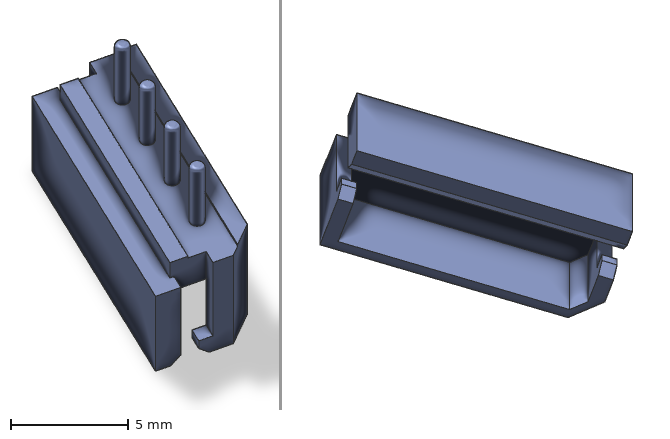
import cadquery as cq

length = 12.4
depth = 4.9
rim_height = 5.89
total_height = 9.4

rear_block_depth = 2.2
end_thickness = 0.68
back_wall = 0.4
corner_chamfer = 1.24
cavity_chamfer = 0.62

front_wall_depth = 1.19
front_wall_height = 4.9
bridge_front = 0.99
bridge_bottom = 3.99
hook_reach = 0.67
hook_height = 0.98
lead_in = 0.48

channel_depth = 0.11
rim_width = 0.85

pin_count = 4
pin_pitch = 2.5
pin_diameter = 0.7
pin_tip_radius = 0.2
pin_from_back = 1.8

rear_face = depth - rear_block_depth
inner_length = length - 2 * end_thickness
channel_floor = rim_height - channel_depth


def box(x, y, z, dx, dy, dz):
    """Box with its lowest corner at (x, y, z)."""
    return cq.Workplane("XY").box(dx, dy, dz, centered=False).translate((x, y, z))


def side_profile(points, x_start, width):
    """Extrude a (Y, Z) outline along X."""
    return cq.Workplane("YZ").polyline(points).close().extrude(width).translate((x_start, 0, 0))


def make_rear_block():
    block = box(0, rear_face, 0, length, rear_block_depth, rim_height)
    block = block.edges("|Z and >X and >Y").chamfer(corner_chamfer)
    cavity = box(end_thickness, rear_face, 0, inner_length, rear_block_depth - back_wall, bridge_bottom)
    cavity = cavity.edges("|Z and >X and >Y").chamfer(cavity_chamfer)
    return block.cut(cavity)


def make_bridge():
    return box(end_thickness, bridge_front, bridge_bottom,
               inner_length, rear_face - bridge_front, rim_height - bridge_bottom)


def make_front_wall():
    outline = [
        (0, 0),
        (front_wall_depth - lead_in, 0),
        (front_wall_depth, lead_in),
        (front_wall_depth, front_wall_height),
        (0, front_wall_height),
    ]
    return side_profile(outline, 0, length)


def make_hook(x_start):
    tip = rear_face - hook_reach
    outline = [
        (rear_face, 0),
        (tip + lead_in, 0),
        (tip, lead_in),
        (tip, hook_height),
        (rear_face, hook_height),
    ]
    return side_profile(outline, x_start, end_thickness)


def make_channel():
    channel_front = bridge_front + rim_width
    channel_width = depth - rim_width - channel_front
    return box(0, channel_front, channel_floor, length, channel_width, channel_depth)


def make_pin(x):
    pin = cq.Workplane("XY").circle(pin_diameter / 2).extrude(total_height - channel_floor)
    pin = pin.faces(">Z").edges().fillet(pin_tip_radius)
    return pin.translate((x, depth - pin_from_back, channel_floor))


result = make_rear_block().union(make_bridge()).union(make_front_wall())
for hook_start in (0, length - end_thickness):
    result = result.union(make_hook(hook_start))
result = result.cut(make_channel())

first_pin = (length - (pin_count - 1) * pin_pitch) / 2
for index in range(pin_count):
    result = result.union(make_pin(first_pin + index * pin_pitch))